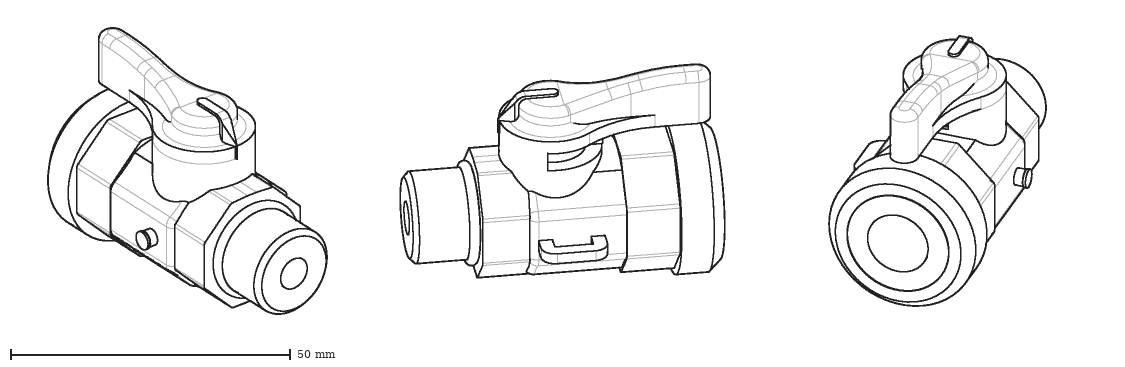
import cadquery as cq
import math


NUT_FACE_X = 0.15
NUT_CHAMFER_LENGTH = 2.25
NUT_CHAMFER_DEPTH = 2.0
NUT_END_X = 8.3
INLET_OCTAGON_END_X = 17.9
CHAMBER_END_X = 35.6
OUTLET_OCTAGON_END_X = 43.9
TOTAL_LENGTH = 56.0

NUT_RADIUS = 14.0
SEAT_RADIUS = 9.7
OCTAGON_TURN = 22.5
INLET_FLATS = 23.95
INLET_EDGE_RADIUS = 1.0
OUTLET_FLATS = 21.95
OUTLET_EDGE_RADIUS = 0.85
OUTLET_RIDGE_WIDTH = 2.0
OUTLET_TOP_SLOPE = math.radians(3.5)
CHAMBER_HALF_WIDTH = 11.8
CHAMBER_HALF_HEIGHT = 11.7
CHAMBER_SHOULDER_Y = 6.4
CHAMBER_SHOULDER_Z = 10.1
CHAMBER_CORNER_Z = 5.05
CHAMBER_CORNER_RADIUS = 2.1
CHAMBER_SHOULDER_SAG = 0.3
CHAMBER_END_RADIUS = 1.7
SPIGOT_RADIUS = 8.35
SPIGOT_CHAMFER = 1.0
RING_X = 44.9
RING_CENTER_RADIUS = 8.5
RING_WIRE_RADIUS = 0.95
BORE_RADIUS = 3.0
INLET_BORE_RADIUS = 5.75
INLET_BORE_DEPTH = INLET_OCTAGON_END_X

STEM_X = 29.9
HOUSING_RADIUS = 9.25
NOTCH_FLOOR_Z = 12.7
NOTCH_INNER_RADIUS = 6.3
STOP_WIDTH = 3.8
STOP_RADIUS = 9.35
STOP_BOTTOM_Z = 13.3
STOP_CLEARANCE = 0.1

HANDLE_BOTTOM_Z = 16.2
PLATE_THICKNESS = 2.45
PLATE_TOP_Z = HANDLE_BOTTOM_Z + PLATE_THICKNESS
PLATE_RADIUS = HOUSING_RADIUS
PLATE_FLARE_RADIUS = 19.6
KNOB_RADIUS = 6.0
KNOB_FLARE_RADIUS = 24.65
ARM_HALF_WIDTH = 2.5
ARM_TIP_X = 0.9
ARM_TOP_Z = 26.2
ARM_SLOPE = math.radians(12)
HANDLE_ROUND = 1.5
CREST_START_X = 5.7
SLOPE_START_X = 13.95
SLOPE_END_X = 19.7
KNOB_TOP_START_X = 28.1

POINTER_START_X = 28.5
POINTER_HALF_WIDTH = 1.0
POINTER_TAPER_X = 36.5
POINTER_TIP_X = 39.5
POINTER_HEIGHT = 0.5
POINTER_DROP_X = 35.5
POINTER_TIP_Z = 19.0
POINTER_BEND_RADIUS = 1.95

LOOP_START_X = 21.9
LOOP_END_X = 33.95
LOOP_OUTER_Y = 17.0
LOOP_BAR = 2.5
LOOP_THICKNESS = 2.0
LOOP_INNER_ROUND = 0.3
PIN_RADIUS = 1.55
PIN_HEAD_RADIUS = 1.75
PIN_HEAD_THICKNESS = 0.55
PIN_END_Y = 14.1
EMBED = 1.1


def cylinder_x(x_start, x_end, radius):
    return cq.Workplane("YZ", origin=(x_start, 0, 0)).circle(radius).extrude(x_end - x_start)


def cylinder_z(z_start, z_end, radius):
    return cq.Workplane("XY", origin=(STEM_X, 0, z_start)).circle(radius).extrude(z_end - z_start)


def octagon_bar(x_start, x_end, flats):
    """Sharp-edged octagonal bar with flats on all four sides."""
    across_corners = flats / math.cos(math.radians(OCTAGON_TURN))
    return (
        cq.Workplane("YZ", origin=(x_start, 0, 0))
        .transformed(rotate=(0, 0, OCTAGON_TURN))
        .polygon(8, across_corners)
        .extrude(x_end - x_start)
    )


def inlet_octagon():
    bar = octagon_bar(NUT_END_X, INLET_OCTAGON_END_X, INLET_FLATS)
    return bar.edges("|X").fillet(INLET_EDGE_RADIUS)


def outlet_octagon():
    """Octagon whose top flat falls away slightly on both sides of a narrow ridge."""
    length = OUTLET_OCTAGON_END_X - INLET_OCTAGON_END_X
    top_z = OUTLET_FLATS / 2
    ridge_y = OUTLET_RIDGE_WIDTH / 2
    side_y = OUTLET_FLATS / 2
    side_z = top_z - (side_y - ridge_y) * math.tan(OUTLET_TOP_SLOPE)
    wedge = (
        cq.Workplane("YZ", origin=(INLET_OCTAGON_END_X, 0, 0))
        .moveTo(ridge_y, top_z)
        .lineTo(side_y, side_z)
        .lineTo(side_y, top_z)
        .close()
        .extrude(length)
    )
    bar = octagon_bar(INLET_OCTAGON_END_X, OUTLET_OCTAGON_END_X, OUTLET_FLATS)
    bar = bar.cut(wedge).cut(wedge.mirror("XZ"))
    ridge_edges = cq.selectors.BoxSelector(
        (INLET_OCTAGON_END_X, -OUTLET_RIDGE_WIDTH, 0),
        (OUTLET_OCTAGON_END_X, OUTLET_RIDGE_WIDTH, OUTLET_FLATS),
    )
    return bar.edges("|X").edges(-ridge_edges).fillet(OUTLET_EDGE_RADIUS)


def nut():
    """Chamfered round nut around a slightly proud seat."""
    body = (
        cq.Workplane("XY")
        .moveTo(NUT_FACE_X, 0)
        .lineTo(NUT_FACE_X, NUT_RADIUS - NUT_CHAMFER_DEPTH)
        .lineTo(NUT_FACE_X + NUT_CHAMFER_LENGTH, NUT_RADIUS)
        .lineTo(NUT_END_X, NUT_RADIUS)
        .lineTo(NUT_END_X, 0)
        .close()
        .revolve(360, (0, 0, 0), (1, 0, 0))
    )
    return body.union(cylinder_x(0, NUT_END_X, SEAT_RADIUS))


def chamber():
    """Ball chamber: flat sides, hollow shoulders, gently curved top and bottom."""
    w = CHAMBER_HALF_WIDTH
    h = CHAMBER_HALF_HEIGHT
    shoulder_y = CHAMBER_SHOULDER_Y
    shoulder_z = CHAMBER_SHOULDER_Z
    corner_z = CHAMBER_CORNER_Z
    chord_y = w - shoulder_y
    chord_z = shoulder_z - corner_z
    sag = CHAMBER_SHOULDER_SAG / math.hypot(chord_y, chord_z)
    mid_y = (w + shoulder_y) / 2 - sag * chord_z
    mid_z = (corner_z + shoulder_z) / 2 - sag * chord_y
    bar = (
        cq.Workplane("YZ", origin=(INLET_OCTAGON_END_X, 0, 0))
        .moveTo(-shoulder_y, shoulder_z)
        .threePointArc((0, h), (shoulder_y, shoulder_z))
        .threePointArc((mid_y, mid_z), (w, corner_z))
        .lineTo(w, -corner_z)
        .threePointArc((mid_y, -mid_z), (shoulder_y, -shoulder_z))
        .threePointArc((0, -h), (-shoulder_y, -shoulder_z))
        .threePointArc((-mid_y, -mid_z), (-w, -corner_z))
        .lineTo(-w, corner_z)
        .threePointArc((-mid_y, mid_z), (-shoulder_y, shoulder_z))
        .close()
        .extrude(CHAMBER_END_X - INLET_OCTAGON_END_X)
    )
    side_edges = cq.selectors.BoxSelector(
        (INLET_OCTAGON_END_X, -2 * w, -corner_z - EMBED),
        (CHAMBER_END_X, 2 * w, corner_z + EMBED),
    )
    bar = bar.edges("|X").edges(side_edges).fillet(CHAMBER_CORNER_RADIUS)
    return bar.faces(">X").edges().fillet(CHAMBER_END_RADIUS)


def outlet_spigot():
    """Round spigot with a chamfered mouth and a sealing ring at its root."""
    spigot = cylinder_x(OUTLET_OCTAGON_END_X, TOTAL_LENGTH, SPIGOT_RADIUS)
    spigot = spigot.faces(">X").edges().chamfer(SPIGOT_CHAMFER)
    ring = (
        cq.Workplane("XY")
        .center(RING_X, RING_CENTER_RADIUS)
        .circle(RING_WIRE_RADIUS)
        .revolve(360, (0, -RING_CENTER_RADIUS, 0), (1, -RING_CENTER_RADIUS, 0))
    )
    return spigot.union(ring)


def stem_housing():
    """Round tower with a quarter-turn notch cut around its top."""
    tower = cylinder_z(0, HANDLE_BOTTOM_Z, HOUSING_RADIUS)
    wall_x = STEM_X + STOP_WIDTH / 2
    wall_y = -STOP_WIDTH / 2 - STOP_CLEARANCE
    sector = (
        cq.Workplane("XY", origin=(wall_x, wall_y, NOTCH_FLOOR_Z))
        .rect(-2 * HOUSING_RADIUS, 2 * HOUSING_RADIUS, centered=False)
        .extrude(HANDLE_BOTTOM_Z - NOTCH_FLOOR_Z)
    )
    core = cylinder_z(NOTCH_FLOOR_Z, HANDLE_BOTTOM_Z, NOTCH_INNER_RADIUS)
    return tower.cut(sector.cut(core))


def handle_stop():
    """Tab under the handle that travels in the notch."""
    block = (
        cq.Workplane("XY", origin=(STEM_X - STOP_RADIUS / 2, 0, STOP_BOTTOM_Z))
        .rect(STOP_RADIUS, STOP_WIDTH)
        .extrude(PLATE_TOP_Z - STOP_BOTTOM_Z)
    )
    return block.intersect(cylinder_z(STOP_BOTTOM_Z, PLATE_TOP_Z, STOP_RADIUS))


def lever_prism(head_radius, flare_radius, z_start, z_end):
    """Round-ended arm that flares with tangent arcs into a round head."""
    w = ARM_HALF_WIDTH
    center_distance = head_radius + flare_radius
    flare_dx = math.sqrt(center_distance**2 - (w + flare_radius) ** 2)
    flare_x = STEM_X - flare_dx
    flare_y = w + flare_radius
    share = head_radius / center_distance
    join_x = STEM_X - share * flare_dx
    join_y = share * flare_y
    half_angle = math.asin(flare_dx / center_distance) / 2
    mid_x = flare_x + flare_radius * math.sin(half_angle)
    mid_y = flare_y - flare_radius * math.cos(half_angle)
    return (
        cq.Workplane("XY", origin=(0, 0, z_start))
        .moveTo(ARM_TIP_X + w, -w)
        .lineTo(flare_x, -w)
        .threePointArc((mid_x, -mid_y), (join_x, -join_y))
        .threePointArc((STEM_X + head_radius, 0), (join_x, join_y))
        .threePointArc((mid_x, mid_y), (flare_x, w))
        .lineTo(ARM_TIP_X + w, w)
        .threePointArc((ARM_TIP_X, 0), (ARM_TIP_X + w, -w))
        .close()
        .extrude(z_end - z_start)
    )


CREST_DROP = (SLOPE_START_X - CREST_START_X) * math.tan(ARM_SLOPE / 2)
SLOPE_DROP = (SLOPE_END_X - SLOPE_START_X) * math.tan(ARM_SLOPE)
FOOT_DROP = (KNOB_TOP_START_X - SLOPE_END_X) * math.tan(ARM_SLOPE / 2)
SLOPE_START_Z = ARM_TOP_Z - CREST_DROP
SLOPE_END_Z = SLOPE_START_Z - SLOPE_DROP
KNOB_TOP_Z = SLOPE_END_Z - FOOT_DROP


def lever():
    """Arm and knob under one smooth top, with all top edges rounded."""
    prism = lever_prism(KNOB_RADIUS, KNOB_FLARE_RADIUS, HANDLE_BOTTOM_Z, ARM_TOP_Z)
    end_x = STEM_X + 2 * KNOB_RADIUS
    profile = (
        cq.Workplane("XZ", origin=(0, 2 * KNOB_RADIUS, 0))
        .moveTo(0, HANDLE_BOTTOM_Z)
        .lineTo(0, ARM_TOP_Z)
        .lineTo(CREST_START_X, ARM_TOP_Z)
        .tangentArcPoint((SLOPE_START_X, SLOPE_START_Z), relative=False)
        .lineTo(SLOPE_END_X, SLOPE_END_Z)
        .tangentArcPoint((KNOB_TOP_START_X, KNOB_TOP_Z), relative=False)
        .lineTo(end_x, KNOB_TOP_Z)
        .lineTo(end_x, HANDLE_BOTTOM_Z)
        .close()
        .extrude(4 * KNOB_RADIUS)
    )
    body = prism.intersect(profile)
    top_edges = cq.selectors.BoxSelector(
        (0, -2 * KNOB_RADIUS, PLATE_TOP_Z), (end_x, 2 * KNOB_RADIUS, 2 * ARM_TOP_Z)
    )
    return body.edges(top_edges).edges("not |Y").edges("not |Z").fillet(HANDLE_ROUND)


def knob_root():
    """Hollow fillet between the handle plate and the knob."""
    r = HANDLE_ROUND
    k = math.sqrt(0.5)
    return (
        cq.Workplane("XZ", origin=(STEM_X, 0, PLATE_TOP_Z))
        .lineTo(KNOB_RADIUS + r, 0)
        .threePointArc((KNOB_RADIUS + r - r * k, r - r * k), (KNOB_RADIUS, r))
        .lineTo(0, r)
        .close()
        .revolve(360, (0, 0, 0), (0, 1, 0))
    )


def pointer():
    """Raised rib on the knob that ends in a sloping arrow point."""
    w = POINTER_HALF_WIDTH
    top_z = KNOB_TOP_Z + POINTER_HEIGHT
    plan = (
        cq.Workplane("XY", origin=(0, 0, HANDLE_BOTTOM_Z))
        .moveTo(POINTER_START_X + w, w)
        .threePointArc((POINTER_START_X, 0), (POINTER_START_X + w, -w))
        .lineTo(POINTER_TAPER_X, -w)
        .lineTo(POINTER_TIP_X, 0)
        .lineTo(POINTER_TAPER_X, w)
        .close()
        .extrude(top_z - HANDLE_BOTTOM_Z)
    )
    side = (
        cq.Workplane("XZ", origin=(0, w, 0))
        .moveTo(POINTER_START_X, HANDLE_BOTTOM_Z)
        .lineTo(POINTER_START_X, top_z)
        .lineTo(POINTER_DROP_X, top_z)
        .lineTo(POINTER_TIP_X, POINTER_TIP_Z)
        .lineTo(POINTER_TIP_X, HANDLE_BOTTOM_Z)
        .close()
        .extrude(2 * w)
        .faces(">Z")
        .edges(">X")
        .fillet(POINTER_BEND_RADIUS)
    )
    return plan.intersect(side)


def strap_loop():
    """Flat loop for a retaining strap, its upper face level with the flow axis."""
    root_y = CHAMBER_HALF_WIDTH - EMBED
    length = LOOP_END_X - LOOP_START_X
    reach = LOOP_OUTER_Y - root_y
    base = cq.Workplane("XY", origin=(LOOP_START_X, root_y, -LOOP_THICKNESS))
    plate = base.rect(length, reach, centered=False).extrude(LOOP_THICKNESS)
    plate = plate.edges("|Z and >Y").fillet(LOOP_BAR)
    window = (
        base.center(LOOP_BAR, 0)
        .rect(length - 2 * LOOP_BAR, reach - LOOP_BAR, centered=False)
        .extrude(LOOP_THICKNESS)
        .edges("|Z and >Y")
        .fillet(LOOP_INNER_ROUND)
    )
    return plate.cut(window)


def pin():
    """Headed pin that stands out of the -Y side under the stem."""
    root_y = CHAMBER_HALF_WIDTH - EMBED
    shaft = (
        cq.Workplane("XZ", origin=(STEM_X, -root_y, 0))
        .circle(PIN_RADIUS)
        .extrude(PIN_END_Y - root_y)
    )
    head = (
        cq.Workplane("XZ", origin=(STEM_X, -PIN_END_Y + PIN_HEAD_THICKNESS, 0))
        .circle(PIN_HEAD_RADIUS)
        .extrude(PIN_HEAD_THICKNESS)
    )
    return shaft.union(head)


body = (
    nut()
    .union(inlet_octagon())
    .union(chamber())
    .union(outlet_octagon())
    .union(outlet_spigot())
    .union(stem_housing())
    .union(strap_loop())
    .union(pin())
    .cut(cylinder_x(0, TOTAL_LENGTH, BORE_RADIUS))
    .cut(cylinder_x(0, INLET_BORE_DEPTH, INLET_BORE_RADIUS))
)

handle = (
    lever_prism(PLATE_RADIUS, PLATE_FLARE_RADIUS, HANDLE_BOTTOM_Z, PLATE_TOP_Z)
    .union(lever())
    .union(knob_root())
    .union(pointer())
    .union(handle_stop())
)

result = body.union(handle)